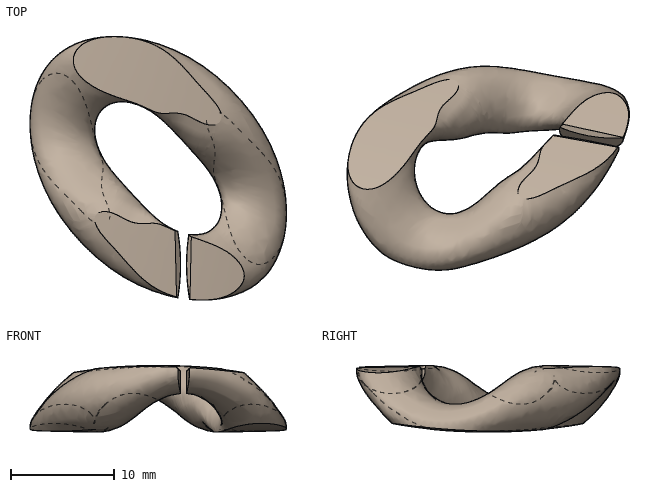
import cadquery as cq
import math

half_length = 11.25
half_width = 6.95
long_axis_angle = math.radians(-47.3)

wave_amplitudes = {2: 2.17, 4: 1.0, 6: 0.15}

wire_half_width = 3.47
shoulder_widening = 0.065
wire_half_height = 2.53
side_heightening = 0.4
tip_and_side_heightening = 0.18

half_height = 3.27
barrel_radius = 56.12
barrel_crown_radius = 420.92
barrel_half_length = 17.85

gap_start = 2.17
gap_end = 2.73
gap_inner_y = -5.75
gap_outer_y = -12.88
end_bulge = 0.33
gap_flare = 0.6

section_count = 40
section_points = 16


def wire_section(turn):
    """Closed section of the wire, at an angle measured from the long axis."""
    twice = math.cos(2 * turn)
    four_times = math.cos(4 * turn)
    reach = 1 / math.hypot(math.cos(turn) / half_length, math.sin(turn) / half_width)
    level = -sum(size * math.sin(waves * turn) for waves, size in wave_amplitudes.items())
    width = wire_half_width - shoulder_widening * four_times
    height = wire_half_height - side_heightening * twice + tip_and_side_heightening * four_times
    angle = turn + long_axis_angle
    points = []
    for i in range(section_points):
        around = 2 * math.pi * i / section_points
        radius = reach + width * math.cos(around)
        z = level + height * math.sin(around)
        points.append(cq.Vector(radius * math.cos(angle), radius * math.sin(angle), z))
    return cq.Wire.assembleEdges([cq.Edge.makeSpline(points, periodic=True)])


def twisted_ring():
    """Closed twisted ring, whose last section is the first one again."""
    sections = [wire_section(2 * math.pi * i / section_count) for i in range(section_count)]
    return cq.Workplane(cq.Solid.makeLoft(sections + sections[:1]))


def flattening_barrel():
    """Slightly crowned barrel along Y, with its highest point at half_height above the origin."""
    crown_drop = barrel_half_length**2 / (2 * barrel_crown_radius)
    return (
        cq.Workplane("XY")
        .moveTo(0, -barrel_half_length)
        .lineTo(barrel_radius - crown_drop, -barrel_half_length)
        .threePointArc((barrel_radius, 0), (barrel_radius - crown_drop, barrel_half_length))
        .lineTo(0, barrel_half_length)
        .close()
        .revolve(360, (0, 0, 0), (0, 1, 0))
        .translate((0, 0, half_height - barrel_radius))
    )


def end_gap():
    """Cutter for the gap: narrowest halfway across the wire, with its top edges flared."""
    middle_y = (gap_inner_y + gap_outer_y) / 2
    plan = (
        cq.Workplane("XY")
        .moveTo(gap_start - end_bulge, gap_inner_y)
        .threePointArc((gap_start, middle_y), (gap_start - end_bulge, gap_outer_y))
        .lineTo(gap_end + end_bulge, gap_outer_y)
        .threePointArc((gap_end, middle_y), (gap_end + end_bulge, gap_inner_y))
        .close()
        .extrude(half_height, both=True)
    )
    flare = (
        cq.Workplane("XZ", origin=(0, gap_inner_y, 0))
        .moveTo(gap_start, half_height - gap_flare)
        .lineTo(gap_end, half_height - gap_flare)
        .lineTo(gap_end + gap_flare, half_height)
        .lineTo(gap_start - gap_flare, half_height)
        .close()
        .extrude(gap_inner_y - gap_outer_y)
    )
    return plan.union(flare)


top_barrel = flattening_barrel()
bottom_barrel = top_barrel.rotate((0, 0, 0), (1, 1, 0), 180)
link = twisted_ring().intersect(top_barrel).intersect(bottom_barrel)
result = link.cut(end_gap())